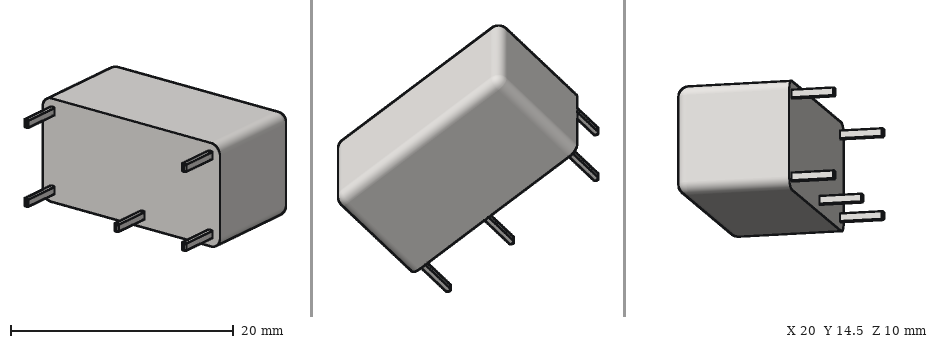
import cadquery as cq

case_length = 20.0
case_depth = 10.5
case_height = 10.0
edge_radius = 1.0

pin_length = 4.0
pin_width = 0.5
pin_height = 0.82
pin_side_height = 0.68
pin_tip_chamfer = 0.15

pin_pitch = 2.55
row_spacing = 3 * pin_pitch
column_spacing = 7 * pin_pitch
left_column_x = -column_spacing / 2
right_column_x = column_spacing / 2
middle_pin_x = right_column_x - 3 * pin_pitch
upper_row_z = row_spacing / 2
lower_row_z = -row_spacing / 2

pin_positions = [
    (left_column_x, upper_row_z),
    (right_column_x, upper_row_z),
    (left_column_x, lower_row_z),
    (middle_pin_x, lower_row_z),
    (right_column_x, lower_row_z),
]


def make_case():
    """Block rounded on every edge except those of the flat pin face."""
    block = cq.Workplane("XY").box(
        case_length, case_depth, case_height, centered=(True, False, True)
    )
    return block.edges("|Y").fillet(edge_radius).faces(">Y").edges().fillet(edge_radius)


def make_pin(x, z):
    """Pin with flat sides, bowed upper and lower faces and a chamfered free end."""
    half_width = pin_width / 2
    half_height = pin_height / 2
    half_side = pin_side_height / 2
    pin = (
        cq.Workplane("XZ")
        .center(x, z)
        .moveTo(-half_width, -half_side)
        .threePointArc((0, -half_height), (half_width, -half_side))
        .lineTo(half_width, half_side)
        .threePointArc((0, half_height), (-half_width, half_side))
        .close()
        .extrude(pin_length)
    )
    return pin.faces("<Y").edges().chamfer(pin_tip_chamfer)


result = make_case()
for pin_x, pin_z in pin_positions:
    result = result.union(make_pin(pin_x, pin_z))